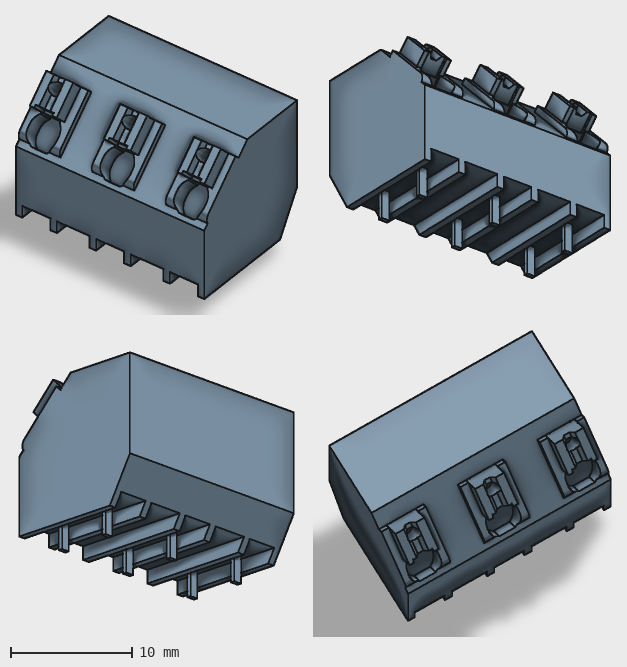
import cadquery as cq
import math

WIDTH = 19.44
DEPTH = 12.7
HEIGHT = 12.89
FRONT_WALL = 7.0
BACK_CHAMFER = 4.0
BACK_CHAMFER_ANGLE = 30
POLE_PITCH = 7.62
POLE_COUNT = 3

FOOT_HEIGHT = 1.2
FOOT_INNER = 1.44
FOOT_OUTER = 2.14

PIN_WIDTH = 0.8
PIN_THICKNESS = 0.39
PIN_LENGTH = 1.5
FRONT_PIN_Y = 3.1
PIN_SPACING = 5.0

PAD_WIDTH = 4.32
PAD_LEVEL = 0.58
PAD_START = 1.7
PAD_END = 7.7
PAD_ROUND = 0.8

ENTRY_RADIUS = 1.5
ENTRY_UPPER_CENTRE = 6.2
ENTRY_LOWER_CENTRE = 6.55
ENTRY_FLOOR = -1.3
ENTRY_END = 7.83

CLIP_WIDTH = 2.78
CLIP_LEVEL = 2.08
CLIP_FRONT = 4.9
TONGUE_WIDTH = 1.98
NOTCH_WIDTH = 1.87
NOTCH_DEPTH = 0.3
NOTCH_FLOOR = 0.27
GROOVE_TOP_WIDTH = 1.17
GROOVE_FLOOR_WIDTH = 0.55
GROOVE_DEPTH = 0.5
TOOL_HOLE_RADIUS = 0.6
TOOL_HOLE_CENTRE = 2.72

SLOPE_TOP_Y = HEIGHT - FRONT_WALL
POLE_CENTRES = [WIDTH / 2 + (i - (POLE_COUNT - 1) / 2) * POLE_PITCH for i in range(POLE_COUNT)]


def slope_plane(x, level=0.0):
    """Workplane parallel to the slope: local X is X, local Y points up the slope from its top edge."""
    plane = cq.Plane(origin=(x, SLOPE_TOP_Y, HEIGHT), xDir=(1, 0, 0), normal=(0, -1, 1))
    return cq.Workplane(plane).workplane(offset=level)


def slope_block(x, width, start, end, low, high):
    """Block from start to end down the slope, between two levels."""
    return (
        slope_plane(x, low)
        .center(0, -(start + end) / 2)
        .rect(width, end - start)
        .extrude(high - low)
    )


def slope_cylinder(x, radius, centre, low, high):
    """Cylinder square to the slope, between two levels."""
    return slope_plane(x, low).center(0, -centre).circle(radius).extrude(high - low)


def clip_blank(x):
    """Wide head resting on the slope, with a narrower tongue reaching to the entry floor."""
    head = slope_block(x, CLIP_WIDTH, PAD_START, CLIP_FRONT, 0, CLIP_LEVEL)
    tongue = slope_block(x, TONGUE_WIDTH, PAD_START, CLIP_FRONT, ENTRY_FLOOR, 0)
    return head.union(tongue)


def clip_groove(x):
    """Groove with slanted sides along the whole top of the clip."""
    floor_level = CLIP_LEVEL - GROOVE_DEPTH
    profile_plane = cq.Plane(
        origin=slope_plane(x).plane.toWorldCoords((0, -PAD_START, 0)).toTuple(),
        xDir=(1, 0, 0),
        normal=(0, -1, -1),
    )
    return (
        cq.Workplane(profile_plane)
        .moveTo(-GROOVE_TOP_WIDTH / 2, CLIP_LEVEL)
        .lineTo(-GROOVE_FLOOR_WIDTH / 2, floor_level)
        .lineTo(GROOVE_FLOOR_WIDTH / 2, floor_level)
        .lineTo(GROOVE_TOP_WIDTH / 2, CLIP_LEVEL)
        .close()
        .extrude(CLIP_FRONT - PAD_START)
    )


def make_clip(x):
    notch = slope_block(x, NOTCH_WIDTH, CLIP_FRONT - NOTCH_DEPTH, CLIP_FRONT, NOTCH_FLOOR, CLIP_LEVEL)
    tool_hole = slope_cylinder(x, TOOL_HOLE_RADIUS, TOOL_HOLE_CENTRE, 0, CLIP_LEVEL)
    return clip_blank(x).cut(notch).cut(clip_groove(x)).cut(tool_hole)


def make_pin(x, y):
    """Flat pin standing against the underside of the housing."""
    return (
        cq.Workplane("XY", origin=(x, y, -PIN_LENGTH))
        .rect(PIN_WIDTH, PIN_THICKNESS)
        .extrude(PIN_LENGTH + FOOT_HEIGHT)
    )


def housing_blank():
    chamfer_run = BACK_CHAMFER * math.tan(math.radians(BACK_CHAMFER_ANGLE))
    return (
        cq.Workplane("YZ")
        .moveTo(0, 0)
        .lineTo(0, FRONT_WALL)
        .lineTo(SLOPE_TOP_Y, HEIGHT)
        .lineTo(DEPTH, HEIGHT)
        .lineTo(DEPTH, BACK_CHAMFER)
        .lineTo(DEPTH - chamfer_run, 0)
        .close()
        .extrude(WIDTH)
    )


def foot_channel(x_start, x_end):
    """Channel along Y through the whole underside."""
    channel = cq.Workplane("XY", origin=(x_start, 0, 0))
    return channel.box(x_end - x_start, DEPTH, FOOT_HEIGHT, centered=False)


def entry_pad(x):
    """Raised pad with a rounded lower edge, trimmed to the sides of the housing."""
    pad = slope_block(x, PAD_WIDTH, PAD_START, PAD_END, -PAD_ROUND, PAD_LEVEL)
    lower_edge = cq.selectors.NearestToPointSelector(
        slope_plane(x).plane.toWorldCoords((0, -PAD_END, PAD_LEVEL)).toTuple()
    )
    pad = pad.edges(lower_edge).fillet(PAD_ROUND)
    side_limits = cq.Workplane("XY").box(WIDTH, DEPTH, HEIGHT + PAD_LEVEL, centered=False)
    return pad.intersect(side_limits)


def wire_entry(x):
    """Elongated pocket, flat at its lower end and opening onto the clip tongue at its upper end."""
    middle = slope_block(
        x, 2 * ENTRY_RADIUS, ENTRY_UPPER_CENTRE, ENTRY_LOWER_CENTRE, ENTRY_FLOOR, PAD_LEVEL
    )
    upper_round = slope_cylinder(x, ENTRY_RADIUS, ENTRY_UPPER_CENTRE, ENTRY_FLOOR, PAD_LEVEL)
    lower_round = slope_cylinder(x, ENTRY_RADIUS, ENTRY_LOWER_CENTRE, ENTRY_FLOOR, PAD_LEVEL)
    tongue_opening = slope_block(x, TONGUE_WIDTH, CLIP_FRONT, ENTRY_UPPER_CENTRE, ENTRY_FLOOR, PAD_LEVEL)
    limits = slope_block(x, 2 * ENTRY_RADIUS, CLIP_FRONT, ENTRY_END, ENTRY_FLOOR, PAD_LEVEL)
    return middle.union(upper_round).union(lower_round).union(tongue_opening).intersect(limits)


def make_housing():
    housing = housing_blank()
    for x in POLE_CENTRES:
        housing = housing.union(entry_pad(x))
    for x in POLE_CENTRES:
        housing = housing.cut(clip_blank(x)).cut(wire_entry(x))
        housing = housing.cut(foot_channel(x - FOOT_INNER, x + FOOT_INNER))
    for left, right in zip(POLE_CENTRES, POLE_CENTRES[1:]):
        housing = housing.cut(foot_channel(left + FOOT_OUTER, right - FOOT_OUTER))
    return housing


housing = make_housing()
clips = [make_clip(x) for x in POLE_CENTRES]
pins = [make_pin(x, y) for x in POLE_CENTRES for y in (FRONT_PIN_Y, FRONT_PIN_Y + PIN_SPACING)]

bodies = [housing, *clips, *pins]
result = cq.Compound.makeCompound([body.solids().val() for body in bodies])